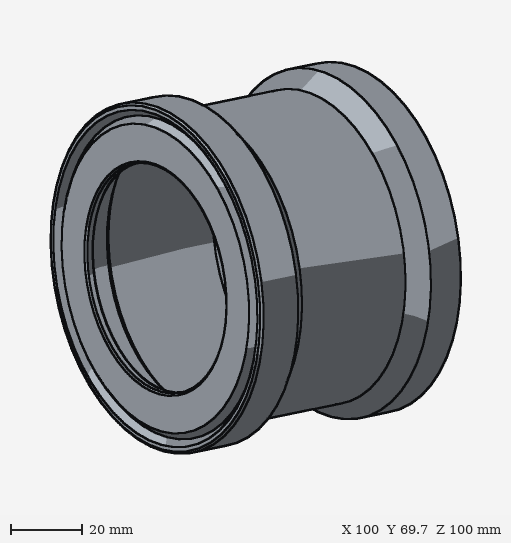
import cadquery as cq

length = 69.7
flange_radius = 50.0
neck_radius = 44.9
mouth_radius = 32.8

front_flange_width = 12.8
back_flange_width = 10.5
shoulder = flange_radius - neck_radius
front_edge_chamfer = 0.7

groove_outer_radius = 48.0
groove_inner_radius = 44.1
groove_bottom_radius = 46.1
groove_depth = groove_bottom_radius - groove_inner_radius

lip_thickness = 3.0
lip_chamfer = 0.6
lip_edge_radius = mouth_radius + lip_chamfer
recess_radius = 40.0
recess_end = front_flange_width
chamber_radius = 42.2
chamber_start = recess_end + chamber_radius - recess_radius
chamber_end = 51.4
funnel_end = chamber_end + chamber_radius - mouth_radius

outside_front_to_back = [
    (0, groove_inner_radius),
    (groove_depth, groove_bottom_radius),
    (0, groove_outer_radius),
    (0, flange_radius - front_edge_chamfer),
    (front_edge_chamfer, flange_radius),
    (front_flange_width, flange_radius),
    (front_flange_width + shoulder, neck_radius),
    (length - back_flange_width - shoulder, neck_radius),
    (length - back_flange_width, flange_radius),
    (length, flange_radius),
]
inside_back_to_front = [
    (length, mouth_radius),
    (funnel_end, mouth_radius),
    (chamber_end, chamber_radius),
    (chamber_start, chamber_radius),
    (recess_end, recess_radius),
    (lip_thickness, recess_radius),
    (lip_thickness, lip_edge_radius),
    (lip_thickness - lip_chamfer, mouth_radius),
    (lip_chamfer, mouth_radius),
    (0, lip_edge_radius),
]

section = cq.Workplane("YZ").polyline(outside_front_to_back + inside_back_to_front).close()
turned = section.revolve(360, (0, 0, 0), (1, 0, 0))
result = turned.translate((0, -length / 2, 0))